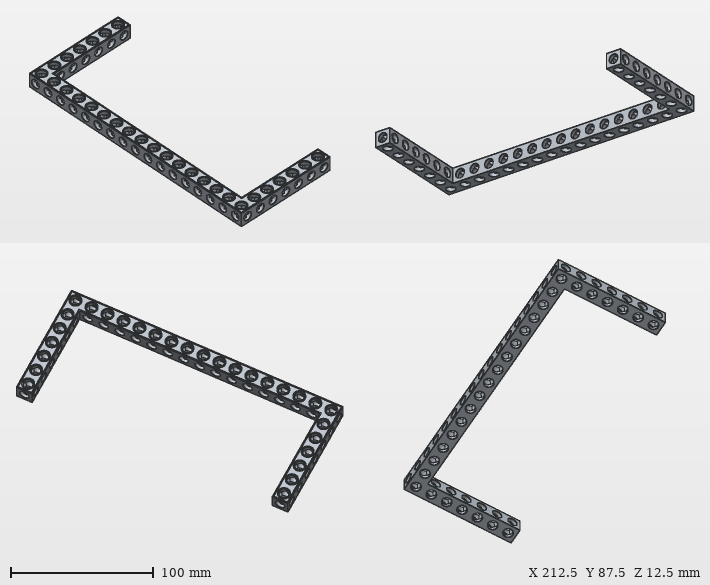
import cadquery as cq

LENGTH = 212.5
BASE_HOLES = 17
ARM_HOLES = 7
HOLE_DIAMETER = 7.0
EDGE_CHAMFER = 0.3

EDGE_BORDER = 1.0
RING_DIAMETER = 9.1
RECESS_DEPTH = 0.2

PITCH = LENGTH / BASE_HOLES
BEAM = PITCH
DEPTH = ARM_HOLES * PITCH
MIDDLE = BEAM / 2

ORIGIN = (0, 0, 0)
X_AXIS = (1, 0, 0)
Y_AXIS = (0, 1, 0)

base_positions = [(i + 0.5) * PITCH for i in range(BASE_HOLES)]
arm_positions = [(i + 0.5) * PITCH for i in range(ARM_HOLES)]
arm_centres = (MIDDLE, LENGTH - MIDDLE)
vertical_holes = [(x, MIDDLE) for x in base_positions]
vertical_holes += [(x, y) for x in arm_centres for y in arm_positions[1:]]


def u_prism(inset, bottom, height):
    """U-shaped prism open towards +Y, with its outline moved inwards by inset."""
    near = inset
    far = BEAM - inset
    outline = [
        (near, near),
        (LENGTH - near, near),
        (LENGTH - near, DEPTH - inset),
        (LENGTH - far, DEPTH - inset),
        (LENGTH - far, far),
        (far, far),
        (far, DEPTH - inset),
        (near, DEPTH - inset),
    ]
    return cq.Workplane("XY", origin=(0, 0, bottom)).polyline(outline).close().extrude(height)


def hole_cutter(length):
    """Cutter along +Z from the origin, flared at both ends to chamfer the hole's rims."""
    radius = HOLE_DIAMETER / 2
    rim = radius + EDGE_CHAMFER
    profile = [
        (0, 0),
        (rim, 0),
        (radius, EDGE_CHAMFER),
        (radius, length - EDGE_CHAMFER),
        (rim, length),
        (0, length),
    ]
    return cq.Workplane("XZ").polyline(profile).close().revolve(360, ORIGIN, Y_AXIS)


def cutter_along_x(length):
    return hole_cutter(length).rotate(ORIGIN, Y_AXIS, 90)


def cutter_along_y(length):
    return hole_cutter(length).rotate(ORIGIN, X_AXIS, -90)


def drill(body, cutter, places):
    """Cut one hole at each of the given starting points."""
    for place in places:
        body = body.cut(cutter.translate(place))
    return body


def drill_vertical(body):
    """Holes along Z through the base and both arms."""
    return drill(body, hole_cutter(BEAM), [(x, y, 0) for x, y in vertical_holes])


def drill_across(body):
    """Holes along Y through the base between the arms, and along X through each arm."""
    base_places = [(x, 0, MIDDLE) for x in base_positions[1:-1]]
    arm_places = [(x, y, MIDDLE) for x in (0, LENGTH - BEAM) for y in arm_positions[1:]]
    body = drill(body, cutter_along_y(BEAM), base_places)
    return drill(body, cutter_along_x(BEAM), arm_places)


def drill_lengthwise(body):
    """Long holes that run the whole length of the base and of each arm."""
    body = drill(body, cutter_along_x(LENGTH), [(0, MIDDLE, MIDDLE)])
    return drill(body, cutter_along_y(DEPTH), [(x, 0, MIDDLE) for x in arm_centres])


def recess_top(body):
    """Sink the top face slightly, except for its borders and a ring around each hole."""
    floor = BEAM - RECESS_DEPTH
    rings = (
        cq.Workplane("XY", origin=(0, 0, floor))
        .pushPoints(vertical_holes)
        .circle(RING_DIAMETER / 2)
        .extrude(RECESS_DEPTH)
    )
    return body.cut(u_prism(EDGE_BORDER, floor, RECESS_DEPTH).cut(rings))


frame = u_prism(0, 0, BEAM).edges().chamfer(EDGE_CHAMFER)
frame = drill_vertical(frame)
frame = drill_across(frame)
frame = drill_lengthwise(frame)
result = recess_top(frame)